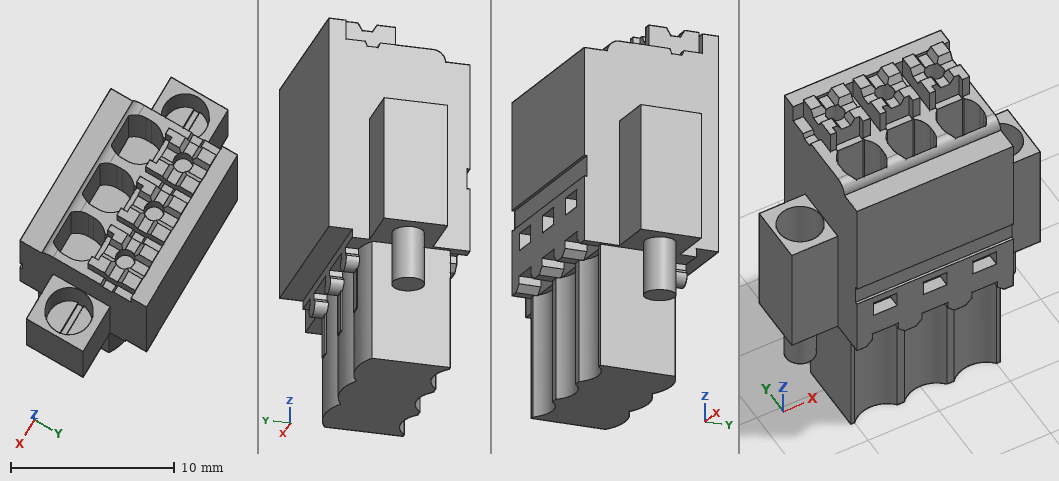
import cadquery as cq
import math

POLE_PITCH = 3.5
POLE_X = [-POLE_PITCH, 0, POLE_PITCH]
ENTRY_OFFSET = 0.07
BUTTON_OFFSET = 0.11

HOUSING_WIDTH = 11.0
FRONT_Y = -4.5
BACK_Y = 4.5
BOTTOM_Z = 7.88
DECK_Z = 21.18
SHELF_Z = 20.43
DECK_FRONT_Y = -2.13
DECK_ROUND = 0.82
WALL_TOP_Z = 22.45
WALL_FRONT_Y = 3.4
BACK_STEP_Y = 3.0
BACK_STEP_Z = 8.42

FRONT_GROOVE_Z = 12.08
FRONT_GROOVE_HEIGHT = 1.35
FRONT_GROOVE_DEPTH = 0.18

WINDOW_WIDTH = 1.65
WINDOW_HEIGHT = 1.11
WINDOW_Z = 10.45
WINDOW_DEPTH = 0.82

NOTCH_WIDTH = 1.82
NOTCH_TOP_Z = 8.8
NOTCH_FLARE_Z = 8.3
NOTCH_FLARE_WIDTH = 2.72
NOTCH_DEPTH = 1.45

PLUG_WIDTH = 10.53
PLUG_FRONT_Y = -3.31
PLUG_BACK_Y = 1.68
POLE_BACK_RISE = 0.52
SCALLOP_WIDTH = 3.0
SCALLOP_RISE = 0.65

KEY_RADIUS = 0.64
KEY_Z = 7.15
KEY_NECK_WIDTH = 0.9
KEY_NECK_Z = 7.5
KEY_SHOULDER_Z = 7.29
RIB_RISE = 0.07
RIB_WIDTH = 0.68
RIB_Z = 3.95

OVERALL_WIDTH = 17.5
FLANGE_TOP_Z = 15.98
FLANGE_FRONT_Y = -2.13
FLANGE_BACK_Y = 1.9
SCREW_X = 7.01
SCREW_Y = (FLANGE_FRONT_Y + FLANGE_BACK_Y) / 2

HEAD_BORE_RADIUS = 1.48
HEAD_RADIUS = 1.43
HEAD_BOTTOM_Z = 10.22
HEAD_HEIGHT = 1.82
SHANK_RADIUS = 1.0
SHANK_END_Z = 4.45
DRIVER_SLOT_WIDTH = 0.39
DRIVER_SLOT_DEPTH = 0.45

BUTTON_WIDTH = 2.81
BUTTON_FRONT_Y = 0.05
BUTTON_TOP_Z = 22.7
BUTTON_BOTTOM_Z = 14.3
BUTTON_RECESS_WIDTH = 1.88
BUTTON_RECESS_DEPTH = 0.45
BUTTON_LEDGE_Z = 20.97
BUTTON_HOLE_RADIUS = 0.61
BUTTON_HOLE_DEPTH = 2.27
CROSS_Y = 1.85
CROSS_TOP_WIDTH = 1.23
CROSS_FLOOR_WIDTH = 0.64
CROSS_DEPTH = 0.48

DECK_GROOVE_Y = 1.7
DECK_GROOVE_TOP_WIDTH = 0.95
DECK_GROOVE_FLOOR_WIDTH = 0.68
DECK_GROOVE_DEPTH = 0.32

ENTRY_RADIUS = 1.45
ENTRY_BACK_ARC_Y = -1.25
ENTRY_FRONT_ARC_Y = -1.63
ENTRY_FRONT_Y = -2.63
ENTRY_FLOOR_Z = 14.3


def box(x_min, x_max, y_min, y_max, z_min, z_max):
    """A block between its six limits."""
    return (
        cq.Workplane("XY")
        .box(x_max - x_min, y_max - y_min, z_max - z_min, centered=False)
        .translate((x_min, y_min, z_min))
    )


def centred_box(x, width, y_min, y_max, z_min, z_max):
    """A block centred on x."""
    return box(x - width / 2, x + width / 2, y_min, y_max, z_min, z_max)


def cylinder(x, y, radius, z_min, z_max):
    """An upright cylinder."""
    return cq.Workplane("XY", origin=(x, y, z_min)).circle(radius).extrude(z_max - z_min)


def tapered_slot(plane, centre, top_z, top_width, floor_width, depth, length):
    """A straight trapezoidal slot along the normal of the plane, symmetric about the origin."""
    return (
        cq.Workplane(plane)
        .moveTo(centre - top_width / 2, top_z)
        .lineTo(centre - floor_width / 2, top_z - depth)
        .lineTo(centre + floor_width / 2, top_z - depth)
        .lineTo(centre + top_width / 2, top_z)
        .close()
        .extrude(length / 2, both=True)
    )


def shell_block():
    """The main block with its stepped top, rounded deck edge, front groove and back step."""
    groove_top_z = FRONT_GROOVE_Z + FRONT_GROOVE_HEIGHT
    groove_y = FRONT_Y + FRONT_GROOVE_DEPTH
    round_z = DECK_Z - DECK_ROUND
    round_end = math.asin((SHELF_Z - round_z) / DECK_ROUND)
    round_mid = (round_end + math.pi / 2) / 2
    round_points = [
        (DECK_FRONT_Y - DECK_ROUND * math.cos(angle), round_z + DECK_ROUND * math.sin(angle))
        for angle in (round_end, round_mid)
    ]
    return (
        cq.Workplane("YZ")
        .moveTo(FRONT_Y, BOTTOM_Z)
        .lineTo(FRONT_Y, FRONT_GROOVE_Z)
        .lineTo(groove_y, FRONT_GROOVE_Z)
        .lineTo(groove_y, groove_top_z)
        .lineTo(FRONT_Y, groove_top_z)
        .lineTo(FRONT_Y, SHELF_Z)
        .lineTo(*round_points[0])
        .threePointArc(round_points[1], (DECK_FRONT_Y, DECK_Z))
        .lineTo(WALL_FRONT_Y, DECK_Z)
        .lineTo(WALL_FRONT_Y, WALL_TOP_Z)
        .lineTo(BACK_Y, WALL_TOP_Z)
        .lineTo(BACK_Y, BACK_STEP_Z)
        .lineTo(BACK_STEP_Y, BACK_STEP_Z)
        .lineTo(BACK_STEP_Y, BOTTOM_Z)
        .close()
        .extrude(HOUSING_WIDTH / 2, both=True)
    )


def plug():
    """The plug, scalloped at the front of each pole and rounded at its back."""
    outline = (
        cq.Workplane("XY")
        .moveTo(PLUG_WIDTH / 2, PLUG_BACK_Y)
        .lineTo(PLUG_WIDTH / 2, PLUG_FRONT_Y)
    )
    for x in reversed(POLE_X):
        outline = outline.lineTo(x + SCALLOP_WIDTH / 2, PLUG_FRONT_Y).threePointArc(
            (x, PLUG_FRONT_Y + SCALLOP_RISE), (x - SCALLOP_WIDTH / 2, PLUG_FRONT_Y)
        )
    outline = outline.lineTo(-PLUG_WIDTH / 2, PLUG_FRONT_Y).lineTo(-PLUG_WIDTH / 2, PLUG_BACK_Y)
    arc_ends = [(left + right) / 2 for left, right in zip(POLE_X, POLE_X[1:])] + [PLUG_WIDTH / 2]
    for x, arc_end in zip(POLE_X, arc_ends):
        outline = outline.threePointArc((x, PLUG_BACK_Y + POLE_BACK_RISE), (arc_end, PLUG_BACK_Y))
    return outline.close().extrude(BOTTOM_Z)


def coding_key(x):
    """A round-ended key hanging behind one pole, with a flat rib under it."""
    rib_y = PLUG_BACK_Y + POLE_BACK_RISE + RIB_RISE
    shoulder = math.sqrt(KEY_RADIUS**2 - (KEY_SHOULDER_Z - KEY_Z) ** 2)
    key = (
        cq.Workplane("XZ", origin=(x, BACK_STEP_Y, 0))
        .moveTo(-KEY_NECK_WIDTH / 2, BOTTOM_Z)
        .lineTo(-KEY_NECK_WIDTH / 2, KEY_NECK_Z)
        .lineTo(-shoulder, KEY_SHOULDER_Z)
        .threePointArc((0, KEY_Z - KEY_RADIUS), (shoulder, KEY_SHOULDER_Z))
        .lineTo(KEY_NECK_WIDTH / 2, KEY_NECK_Z)
        .lineTo(KEY_NECK_WIDTH / 2, BOTTOM_Z)
        .close()
        .extrude(BACK_STEP_Y - PLUG_BACK_Y)
    )
    rib = centred_box(x, RIB_WIDTH, PLUG_BACK_Y, rib_y, RIB_Z, BOTTOM_Z)
    return key.union(rib)


def flange(side):
    """The solid block of one flange; side is -1 or 1."""
    inner_x = side * HOUSING_WIDTH / 2
    outer_x = side * OVERALL_WIDTH / 2
    return box(
        min(inner_x, outer_x), max(inner_x, outer_x),
        FLANGE_FRONT_Y, FLANGE_BACK_Y, BOTTOM_Z, FLANGE_TOP_Z,
    )


def screw_bore(side):
    """The stepped bore for one screw."""
    head_bore = cylinder(side * SCREW_X, SCREW_Y, HEAD_BORE_RADIUS, HEAD_BOTTOM_Z, FLANGE_TOP_Z)
    shank_bore = cylinder(side * SCREW_X, SCREW_Y, SHANK_RADIUS, BOTTOM_Z, HEAD_BOTTOM_Z)
    return head_bore.union(shank_bore)


def edge_notch(x):
    """A flared notch in the lower front edge at one pole."""
    return (
        cq.Workplane("XZ", origin=(x, FRONT_Y + NOTCH_DEPTH, 0))
        .moveTo(-NOTCH_FLARE_WIDTH / 2, BOTTOM_Z)
        .lineTo(-NOTCH_WIDTH / 2, NOTCH_FLARE_Z)
        .lineTo(-NOTCH_WIDTH / 2, NOTCH_TOP_Z)
        .lineTo(NOTCH_WIDTH / 2, NOTCH_TOP_Z)
        .lineTo(NOTCH_WIDTH / 2, NOTCH_FLARE_Z)
        .lineTo(NOTCH_FLARE_WIDTH / 2, BOTTOM_Z)
        .close()
        .extrude(NOTCH_DEPTH)
    )


def window(x):
    """A blind test window in the front face."""
    return centred_box(
        x, WINDOW_WIDTH, FRONT_Y, FRONT_Y + WINDOW_DEPTH, WINDOW_Z, WINDOW_Z + WINDOW_HEIGHT
    )


def wire_entry(x):
    """A round-sided wire entry, cut flat at its front and square-necked towards the button."""
    rounded = (
        cylinder(x, ENTRY_BACK_ARC_Y, ENTRY_RADIUS, ENTRY_FLOOR_Z, DECK_Z)
        .union(cylinder(x, ENTRY_FRONT_ARC_Y, ENTRY_RADIUS, ENTRY_FLOOR_Z, DECK_Z))
        .union(centred_box(
            x, 2 * ENTRY_RADIUS, ENTRY_FRONT_ARC_Y, ENTRY_BACK_ARC_Y, ENTRY_FLOOR_Z, DECK_Z
        ))
        .union(centred_box(
            x, BUTTON_RECESS_WIDTH, ENTRY_BACK_ARC_Y, BUTTON_FRONT_Y, ENTRY_FLOOR_Z, DECK_Z
        ))
    )
    limits = centred_box(
        x, 2 * ENTRY_RADIUS, ENTRY_FRONT_Y, BUTTON_FRONT_Y, ENTRY_FLOOR_Z, DECK_Z
    )
    return rounded.intersect(limits)


def button_block(pole_x):
    """The plain block of one button, which is also the shape of its pocket."""
    return centred_box(
        pole_x + BUTTON_OFFSET, BUTTON_WIDTH, BUTTON_FRONT_Y, WALL_FRONT_Y, BUTTON_BOTTOM_Z, BUTTON_TOP_Z
    )


def make_housing():
    """The housing with its plug, keys and flanges."""
    housing = shell_block().union(plug())
    for x in POLE_X:
        housing = housing.union(coding_key(x))
    for side in (-1, 1):
        housing = housing.union(flange(side)).cut(screw_bore(side))
    housing = housing.cut(tapered_slot(
        "YZ", DECK_GROOVE_Y, DECK_Z,
        DECK_GROOVE_TOP_WIDTH, DECK_GROOVE_FLOOR_WIDTH, DECK_GROOVE_DEPTH, HOUSING_WIDTH,
    ))
    for x in POLE_X:
        housing = housing.cut(window(x)).cut(edge_notch(x))
        housing = housing.cut(wire_entry(x + ENTRY_OFFSET)).cut(button_block(x))
    return housing


def make_button(pole_x):
    """A release button with crossed slots, a centre hole and a recess in its front face."""
    button = button_block(pole_x)
    x = pole_x + ENTRY_OFFSET
    slot_sizes = (BUTTON_TOP_Z, CROSS_TOP_WIDTH, CROSS_FLOOR_WIDTH, CROSS_DEPTH)
    button = button.cut(tapered_slot("YZ", CROSS_Y, *slot_sizes, OVERALL_WIDTH))
    button = button.cut(tapered_slot("XZ", x, *slot_sizes, 2 * BACK_Y))
    button = button.cut(
        cylinder(x, CROSS_Y, BUTTON_HOLE_RADIUS, BUTTON_TOP_Z - BUTTON_HOLE_DEPTH, BUTTON_TOP_Z)
    )
    return button.cut(centred_box(
        x, BUTTON_RECESS_WIDTH,
        BUTTON_FRONT_Y, BUTTON_FRONT_Y + BUTTON_RECESS_DEPTH, BUTTON_LEDGE_Z, BUTTON_TOP_Z,
    ))


def make_screw(x):
    """A slotted flange screw."""
    head_top_z = HEAD_BOTTOM_Z + HEAD_HEIGHT
    screw = cylinder(x, SCREW_Y, HEAD_RADIUS, HEAD_BOTTOM_Z, head_top_z).union(
        cylinder(x, SCREW_Y, SHANK_RADIUS, SHANK_END_Z, HEAD_BOTTOM_Z)
    )
    return screw.cut(centred_box(
        x, 2 * HEAD_RADIUS,
        SCREW_Y - DRIVER_SLOT_WIDTH / 2, SCREW_Y + DRIVER_SLOT_WIDTH / 2,
        head_top_z - DRIVER_SLOT_DEPTH, head_top_z,
    ))


housing = make_housing()
buttons = [make_button(x) for x in POLE_X]
screws = [make_screw(side * SCREW_X) for side in (-1, 1)]

result = cq.Compound.makeCompound(
    [housing.val(), *[button.val() for button in buttons], *[screw.val() for screw in screws]]
)